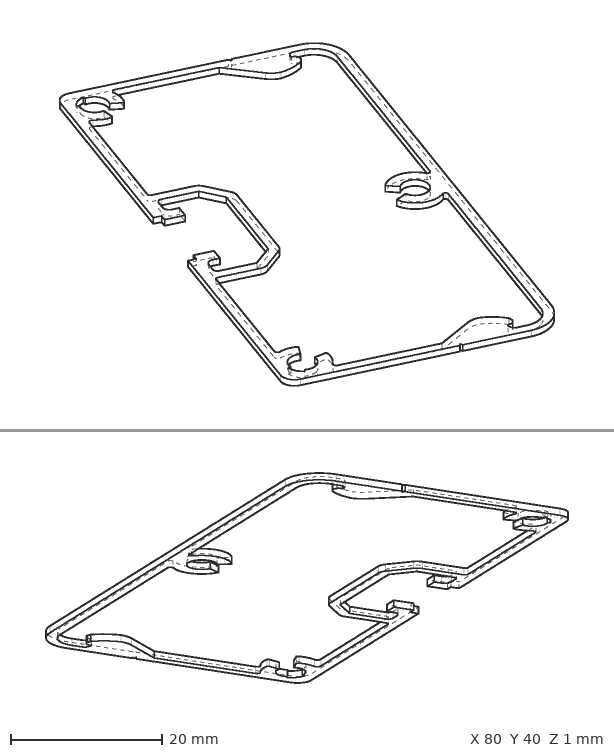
import cadquery as cq
import math

width = 80.0
depth = 40.0
thickness = 1.0

side_wall = 1.4
long_wall = 1.6
back_corner_radius = 5.0
back_inner_radius = back_corner_radius - long_wall
front_corner_radius = 2.0
half_width = width / 2
wall_face = half_width - side_wall

port_hole_radius = 2.0
port_outer_radius = 4.0
port_opening = 60.0
corner_port_inset = 4.0
back_port_y = depth - 5.0
neck_half_width = 2.8
neck_fillet = 0.3
root_fillet = 0.5
jaw_fillet = 0.2
relief_radius = 2.4
relief_span = 60.0

channel_half_width = 11.5
channel_height = 12.5
channel_wall = 1.5
channel_chamfer = 3.7
channel_floor = 2.2
channel_foot_fillet = 0.4
lip_outer_half = 7.0
lip_half_gap = 5.0
lip_top = 4.2
groove_wall_fillet = 0.6
groove_lip_fillet = 1.0
slot_half_width = 6.0
slot_depth = 1.2

ledge_bottom = 22.9
ledge_slope_top = (5.0, 28.0)
ledge_crest = (5.7, 29.9)
ledge_back = (5.2, 31.7)
ledge_shoulder = (4.1, 33.5)
tip_top = (3.4, 33.8)
tip_side = (2.8, 33.5)
tip_root_x = 2.6
undercut_floor = 32.7
undercut_radius = 0.8

mark_y = 25.0
mark_half_width = 0.2
mark_depth = 0.3


def polar_point(x, y, radius, angle):
    turn = math.radians(angle)
    return (x + radius * math.cos(turn), y + radius * math.sin(turn))


def plate(sketch):
    return sketch.extrude(thickness)


def box(x_min, x_max, y_min, y_max):
    plane = cq.Workplane("XY").center((x_min + x_max) / 2, (y_min + y_max) / 2)
    return plate(plane.rect(x_max - x_min, y_max - y_min))


def polygon(points):
    return plate(cq.Workplane("XY").polyline(points).close())


def disk(x, y, radius):
    return plate(cq.Workplane("XY").center(x, y).circle(radius))


def on_both_sides(solid):
    return solid.union(solid.mirror("YZ"))


def fillet_corners(solid, points, radius):
    """Round the upright edges that stand at the given (x, y) points, and at their mirror images."""
    for x, y in points:
        for side in (-1, 1):
            corner = cq.selectors.NearestToPointSelector((side * x, y, thickness / 2))
            solid = solid.edges("|Z").edges(corner).fillet(radius)
    return solid


def make_frame():
    outside = box(-half_width, half_width, 0, depth)
    outside = outside.edges("|Z and >Y").fillet(back_corner_radius)
    outside = outside.edges("|Z and <Y").fillet(front_corner_radius)
    cavity = box(-wall_face, wall_face, long_wall, depth - long_wall)
    cavity = cavity.edges("|Z and >Y").fillet(back_inner_radius)
    return outside.cut(cavity)


def wedge(x, y, direction, span):
    """Triangle with its tip at (x, y) that reaches well past the port; angles in degrees."""
    reach = 2 * port_outer_radius
    sides = [polar_point(x, y, reach, direction + turn) for turn in (-span / 2, span / 2)]
    return polygon([(x, y)] + sides)


def port_cutter(x, y, direction):
    """Screw hole with a wedge-shaped mouth that opens in the given direction."""
    return disk(x, y, port_hole_radius).union(wedge(x, y, direction, port_opening))


def add_back_port(body):
    neck = box(-neck_half_width, neck_half_width, back_port_y, depth - long_wall / 2)
    body = body.union(disk(0, back_port_y, port_outer_radius)).union(neck)
    body = body.cut(port_cutter(0, back_port_y, -90))
    return fillet_corners(body, [(neck_half_width, depth - long_wall)], neck_fillet)


def add_corner_ports(body):
    x = -half_width + corner_port_inset
    y = corner_port_inset
    inward = 45
    ring = disk(x, y, port_outer_radius)
    corner_limits = box(-half_width + side_wall / 2, 0, long_wall / 2, depth)
    body = body.union(on_both_sides(ring.intersect(corner_limits)))
    body = body.cut(on_both_sides(port_cutter(x, y, inward)))

    relief = disk(x, y, relief_radius).intersect(wedge(x, y, inward + 180, relief_span))
    body = body.cut(on_both_sides(relief))

    jaw_angles = (inward - port_opening / 2, inward + port_opening / 2)
    jaws = [polar_point(x, y, port_outer_radius, angle) for angle in jaw_angles]
    side_root = y + math.sqrt(port_outer_radius**2 - (corner_port_inset - side_wall)**2)
    front_root = x + math.sqrt(port_outer_radius**2 - (corner_port_inset - long_wall)**2)
    roots = [(-wall_face, side_root), (front_root, long_wall)]
    body = fillet_corners(body, jaws, jaw_fillet)
    return fillet_corners(body, roots, root_fillet)


def add_channel(body):
    hull = box(-channel_half_width, channel_half_width, 0, channel_height)
    hull = hull.edges("|Z and >Y").chamfer(channel_chamfer)
    chamfer_ends = [
        (channel_half_width, channel_height - channel_chamfer),
        (channel_half_width - channel_chamfer, channel_height),
    ]
    hull = fillet_corners(hull, chamfer_ends, channel_wall)
    body = body.union(hull)
    body = fillet_corners(body, [(channel_half_width, long_wall)], channel_foot_fillet)

    inner_half = channel_half_width - channel_wall
    inner_chamfer = channel_chamfer - channel_wall * (2 - math.sqrt(2))
    room = box(-inner_half, inner_half, lip_top, channel_height - channel_wall)
    room = room.edges("|Z and >Y").chamfer(inner_chamfer)
    groove = box(-inner_half, -lip_outer_half, channel_floor, lip_top)
    groove = groove.edges("|Z and <X and <Y").fillet(groove_wall_fillet)
    groove = groove.edges("|Z and >X and <Y").fillet(groove_lip_fillet)
    gap = box(-lip_half_gap, lip_half_gap, 0, lip_top)
    slot = box(-slot_half_width, slot_half_width, 0, slot_depth)
    return body.cut(room).cut(on_both_sides(groove)).cut(gap).cut(slot)


def make_ledge():
    """Left ledge, drawn with X = 0 on the outer face of the wall and then moved into place."""
    undercut_x = side_wall + undercut_radius
    undercut_y = undercut_floor + undercut_radius
    undercut_middle = polar_point(undercut_x, undercut_y, undercut_radius, 225)
    outline = (
        cq.Workplane("XY")
        .moveTo(side_wall / 2, ledge_bottom)
        .lineTo(side_wall, ledge_bottom)
        .lineTo(*ledge_slope_top)
        .tangentArcPoint(ledge_crest, relative=False)
        .threePointArc(ledge_back, ledge_shoulder)
        .lineTo(*tip_top)
        .threePointArc(tip_side, (tip_root_x, undercut_floor))
        .lineTo(undercut_x, undercut_floor)
        .threePointArc(undercut_middle, (side_wall, undercut_y))
        .lineTo(side_wall / 2, undercut_y)
        .close()
    )
    return plate(outline).translate((-half_width, 0, 0))


def make_witness_groove():
    return polygon(
        [
            (-half_width, mark_y - mark_half_width),
            (-half_width + mark_depth, mark_y),
            (-half_width, mark_y + mark_half_width),
        ]
    )


body = make_frame()
body = add_back_port(body)
body = add_corner_ports(body)
body = add_channel(body)
body = body.union(on_both_sides(make_ledge()))
result = body.cut(on_both_sides(make_witness_groove()))